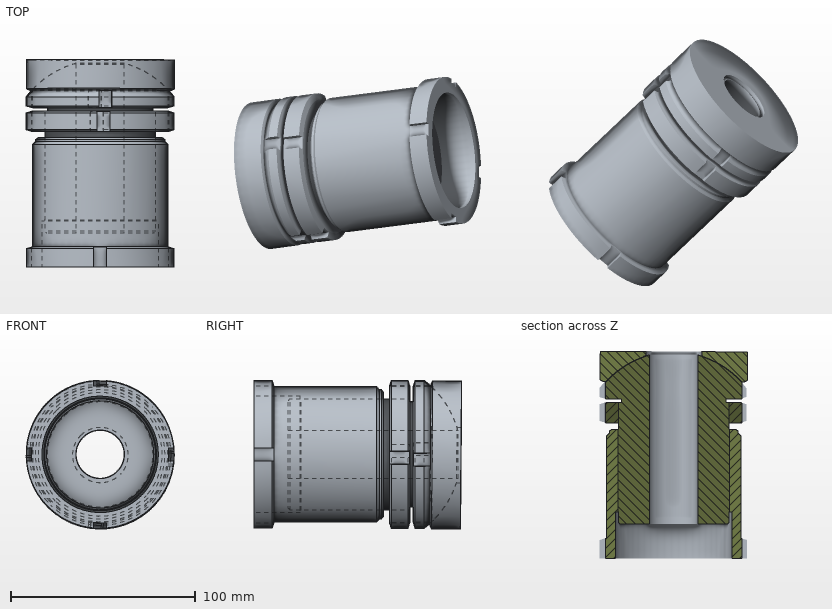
import cadquery as cq
import math


ring_radius = 40.0
ring_edge_radius = 36.5
ring_edge_length = 1.1
notch_count = 4
notch_width = 7.0
notch_floor_radius = 37.0

thread_radius = 30.0
thread_edge = 1.0
screw_front_y = 18.5
screw_bore_radius = 13.0
relief_radius = 28.5
head_front_y = 86.1
head_rim_y = 92.0
head_turn = 4.3

seat_radius = 50.0
seat_center_y = head_rim_y - math.sqrt(seat_radius**2 - ring_radius**2)

sleeve_radius = 36.6
sleeve_length = 70.0
flange_length = 11.0
mouth_radius = 31.5
mouth_depth = 25.0
thread_lead_in = 0.5
collar_radius = 35.0
collar_front_y = 67.8
collar_chamfer_y = 66.3
collar_edge_length = 1.1
collar_edge_radius = 33.5

nut_front_y = 73.2
nut_rear_y = 84.4
nut_turn = 2.7

washer_front_y = 95.5
washer_rear_y = 112.0
washer_edge_radius = 38.2
washer_edge_length = 0.9
washer_bore_radius = 15.0
washer_tilt_x = -0.45
washer_tilt_z = -0.12


def revolve_profile(points):
    """Revolve an outline of (radius, y) points about the Y axis."""
    return cq.Workplane("XY").polyline(points).close().revolve(360, (0, 0), (0, 1))


def cut_notches(body, front_y, rear_y, turn=0.0):
    """Cut the spanner notches of a ring between two Y positions."""
    height = 2 * (ring_radius - notch_floor_radius)
    cutter = cq.Workplane("XY").box(notch_width, rear_y - front_y, height)
    cutter = cutter.translate((0, (front_y + rear_y) / 2, notch_floor_radius + height / 2))
    for index in range(notch_count):
        angle = turn + index * 360 / notch_count
        body = body.cut(cutter.rotate((0, 0, 0), (0, 1, 0), angle))
    return body


def make_sleeve():
    """Flanged sleeve with a wide mouth and a threaded bore behind it."""
    sleeve = revolve_profile([
        (mouth_radius, 0),
        (ring_radius, 0),
        (ring_radius, flange_length - ring_edge_length),
        (ring_edge_radius, flange_length),
        (sleeve_radius, flange_length),
        (sleeve_radius, collar_chamfer_y),
        (collar_radius, collar_front_y),
        (collar_radius, sleeve_length - collar_edge_length),
        (collar_edge_radius, sleeve_length),
        (thread_radius, sleeve_length),
        (thread_radius, mouth_depth + thread_lead_in),
        (thread_radius + thread_lead_in, mouth_depth),
        (mouth_radius, mouth_depth),
    ])
    return cut_notches(sleeve, 0, flange_length)


def make_screw():
    """Hollow screw with a thread relief and a notched, domed head."""
    dome_end_y = seat_center_y + math.sqrt(seat_radius**2 - screw_bore_radius**2)
    dome_mid_radius = (ring_radius + screw_bore_radius) / 2
    dome_mid_y = seat_center_y + math.sqrt(seat_radius**2 - dome_mid_radius**2)
    outline = cq.Workplane("XY").polyline([
        (screw_bore_radius, screw_front_y),
        (thread_radius - thread_edge, screw_front_y),
        (thread_radius, screw_front_y + thread_edge),
        (thread_radius, nut_rear_y),
        (relief_radius, nut_rear_y),
        (relief_radius, head_front_y),
        (ring_edge_radius, head_front_y),
        (ring_radius, head_front_y + ring_edge_length),
        (ring_radius, head_rim_y),
    ])
    outline = outline.threePointArc((dome_mid_radius, dome_mid_y), (screw_bore_radius, dome_end_y))
    screw = outline.close().revolve(360, (0, 0), (0, 1))
    return cut_notches(screw, head_front_y, washer_front_y, head_turn)


def make_lock_nut():
    """Slotted round nut on the screw thread."""
    nut = revolve_profile([
        (thread_radius, nut_front_y),
        (ring_edge_radius, nut_front_y),
        (ring_radius, nut_front_y + ring_edge_length),
        (ring_radius, nut_rear_y - ring_edge_length),
        (ring_edge_radius, nut_rear_y),
        (thread_radius, nut_rear_y),
    ])
    return cut_notches(nut, nut_front_y, nut_rear_y, nut_turn)


def make_washer():
    """Washer with a concave seat, tilted about the centre of the seat sphere."""
    washer = revolve_profile([
        (washer_bore_radius, washer_front_y),
        (washer_edge_radius, washer_front_y),
        (ring_radius, washer_front_y + washer_edge_length),
        (ring_radius, washer_rear_y),
        (washer_bore_radius, washer_rear_y),
    ])
    seat_center = cq.Vector(0, seat_center_y, 0)
    washer = washer.cut(cq.Workplane("XY").sphere(seat_radius).translate(seat_center))
    washer = washer.rotate(seat_center, seat_center + cq.Vector(1, 0, 0), washer_tilt_x)
    return washer.rotate(seat_center, seat_center + cq.Vector(0, 0, 1), washer_tilt_z)


sleeve = make_sleeve()
screw = make_screw()
lock_nut = make_lock_nut()
washer = make_washer()

result = cq.Compound.makeCompound([sleeve.val(), screw.val(), lock_nut.val(), washer.val()])